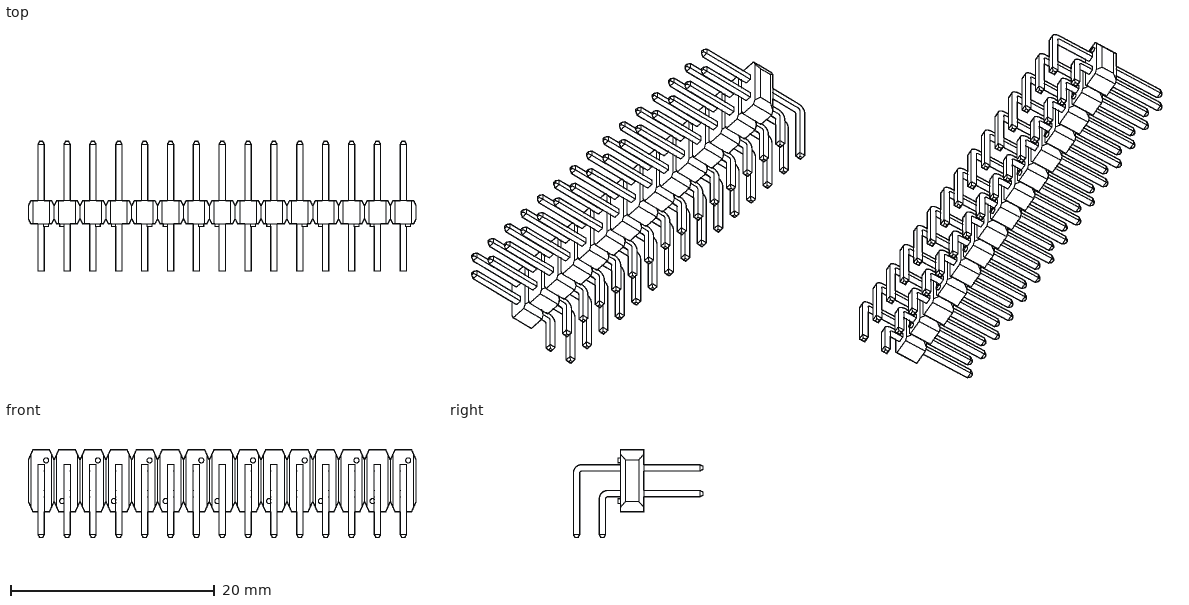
import cadquery as cq

PITCH = 2.54
COLUMNS = 15

BODY_DEPTH = 2.3
BODY_HEIGHT = 6.1
END_CHAMFER_X = 0.45
END_CHAMFER_Z = 1.0
FACE_CHAMFER_X = 0.25
FACE_CHAMFER_Y = 0.5

PEG_DIAMETER = 0.5
PEG_HEIGHT = 0.25
PEG_OFFSET_X = 0.48
PEG_OFFSET_Z = 2.0

PIN_SIZE = 0.64
TIP_SIZE = 0.3
TIP_LENGTH = 0.31
BEND_INNER_RADIUS = 0.2
BEND_OUTER_RADIUS = BEND_INNER_RADIUS + PIN_SIZE
CONTACT_LENGTH = 5.83
TAIL_REACH = 4.63
TAIL_DROP = PITCH

FRONT_Y = -BODY_DEPTH / 2
CONTACT_TIP_Y = BODY_DEPTH / 2 + CONTACT_LENGTH
TAIL_TIP_Z = -BODY_HEIGHT / 2 - TAIL_DROP


def chamfered_rectangle(workplane, width, height, chamfer_width, chamfer_height):
    """Rectangle outline whose four corners are cut by an unequal chamfer."""
    half_w = width / 2
    half_h = height / 2
    flat_w = half_w - chamfer_width
    flat_h = half_h - chamfer_height
    return workplane.polyline([
        (-flat_w, -half_h), (flat_w, -half_h), (half_w, -flat_h), (half_w, flat_h),
        (flat_w, half_h), (-flat_w, half_h), (-half_w, flat_h), (-half_w, -flat_h),
    ]).close()


def body_block():
    """Insulator block of one column, chamfered around both of its X sides."""
    front_outline = chamfered_rectangle(
        cq.Workplane("XZ"), PITCH, BODY_HEIGHT, END_CHAMFER_X, END_CHAMFER_Z
    )
    top_outline = chamfered_rectangle(
        cq.Workplane("XY"), PITCH, BODY_DEPTH, FACE_CHAMFER_X, FACE_CHAMFER_Y
    )
    front_prism = front_outline.extrude(BODY_DEPTH / 2, both=True)
    top_prism = top_outline.extrude(BODY_HEIGHT / 2, both=True)
    return front_prism.intersect(top_prism)


def peg(x, z):
    """Round standoff peg on the front face."""
    return (
        cq.Workplane("XZ", origin=(x, FRONT_Y, z))
        .circle(PEG_DIAMETER / 2)
        .extrude(PEG_HEIGHT)
    )


def pin_tip(plane):
    """Tapered square end of a pin, growing along the plane's normal."""
    return (
        cq.Workplane(plane)
        .rect(PIN_SIZE, PIN_SIZE)
        .workplane(offset=TIP_LENGTH)
        .rect(TIP_SIZE, TIP_SIZE)
        .loft()
    )


def bent_pin(row_z, tail_outer_y):
    """Pin running along Y through the body and bent down into a tail."""
    shank_end_y = CONTACT_TIP_Y - TIP_LENGTH
    tail_end_z = TAIL_TIP_Z + TIP_LENGTH
    tail_inner_y = tail_outer_y + PIN_SIZE
    pin_top = row_z + PIN_SIZE / 2
    pin_bottom = row_z - PIN_SIZE / 2
    bend_y = tail_outer_y + BEND_OUTER_RADIUS
    bend_z = pin_top - BEND_OUTER_RADIUS
    shank = (
        cq.Workplane("YZ")
        .moveTo(shank_end_y, pin_top)
        .lineTo(bend_y, pin_top)
        .radiusArc((tail_outer_y, bend_z), -BEND_OUTER_RADIUS)
        .lineTo(tail_outer_y, tail_end_z)
        .lineTo(tail_inner_y, tail_end_z)
        .lineTo(tail_inner_y, bend_z)
        .radiusArc((bend_y, pin_bottom), BEND_INNER_RADIUS)
        .lineTo(shank_end_y, pin_bottom)
        .close()
        .extrude(PIN_SIZE / 2, both=True)
    )
    contact_tip = pin_tip(cq.Plane((0, shank_end_y, row_z), (1, 0, 0), (0, 1, 0)))
    tail_center_y = tail_outer_y + PIN_SIZE / 2
    tail_tip = pin_tip(cq.Plane((0, tail_center_y, tail_end_z), (1, 0, 0), (0, 0, -1)))
    return shank.union(contact_tip).union(tail_tip)


def header_column(peg_side):
    """One column; peg_side +1 puts the peg upper right, -1 lower left."""
    upper_tail_y = FRONT_Y - TAIL_REACH
    upper_pin = bent_pin(PITCH / 2, upper_tail_y)
    lower_pin = bent_pin(-PITCH / 2, upper_tail_y + PITCH)
    column_peg = peg(peg_side * PEG_OFFSET_X, peg_side * PEG_OFFSET_Z)
    return body_block().union(column_peg).union(upper_pin).union(lower_pin)


columns = [header_column(1), header_column(-1)]

result = cq.Workplane("XY")
for index in range(COLUMNS):
    column_x = (index - (COLUMNS - 1) / 2) * PITCH
    result = result.union(columns[index % 2].translate((column_x, 0, 0)))